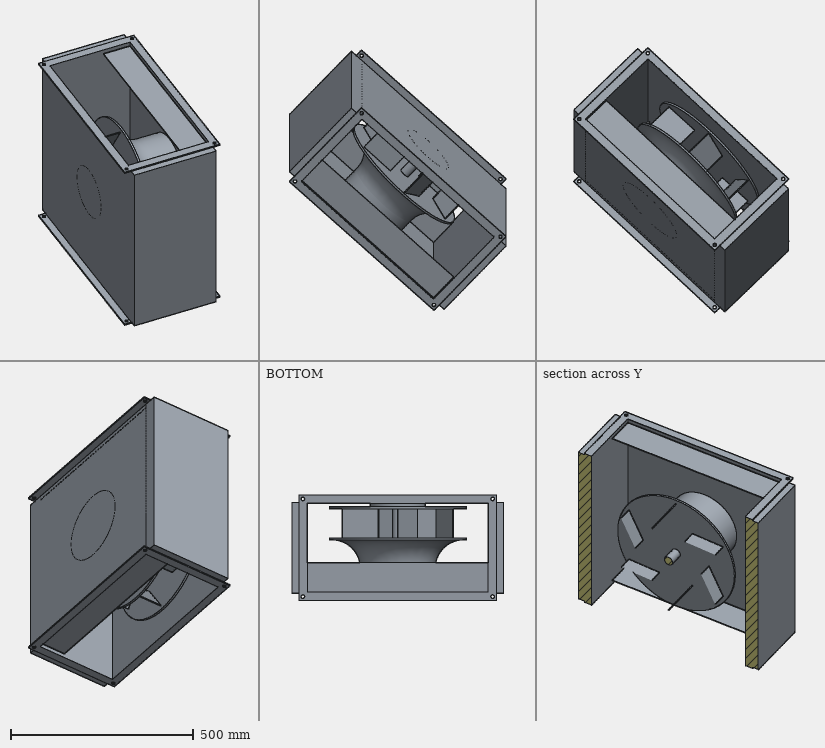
import cadquery as cq
import math

CASING_WIDTH = 580.0
CASING_DEPTH = 249.5
TOTAL_HEIGHT = 530.0
DUCT_WIDTH = 495.5
DUCT_DEPTH = 243.5

FLANGE_WIDTH = 542.5
FLANGE_DEPTH = 290.0
FLANGE_THICKNESS = 4.0
BOLT_HOLE_DIAMETER = 9.0
BOLT_INSET = 11.0

SHELF_DEPTH = 81.0
SHELF_THICKNESS = 2.5
SHELF_DROP = 12.0

DISC_RADIUS = 188.0
DISC_THICKNESS = 6.0
INLET_DISC_BACK = -21.5
REAR_DISC_BACK = -107.0
INLET_NECK_RADIUS = 103.0
INLET_ARC_RADIUS = 76.5
MOTOR_RADIUS = 76.0
SHAFT_RADIUS = 14.0

BLADE_COUNT = 6
BLADE_TIP_RADIUS = 175.0
BLADE_ROOT_RADIUS = 106.0
BLADE_THICKNESS = 3.0
BLADE_START_ANGLE = 30.0
BLADE_SWEEP_ANGLE = 30.0

CASING_HEIGHT = TOTAL_HEIGHT - 2 * FLANGE_THICKNESS
BACK_PANEL_Y = DUCT_DEPTH / 2
FRONT_PANEL_Y = -DUCT_DEPTH / 2


def fan_cylinder(radius, y_back, y_front):
    """Cylinder on the fan axis between two Y positions."""
    plane = cq.Workplane("XZ", origin=(0, y_back, 0))
    return plane.circle(radius).extrude(y_back - y_front)


def make_casing():
    """Casing walls with a drilled flange at each end and the duct running through."""
    casing = cq.Workplane("XY").box(CASING_WIDTH, CASING_DEPTH, CASING_HEIGHT)
    flange = (
        cq.Workplane("XY")
        .box(FLANGE_WIDTH, FLANGE_DEPTH, FLANGE_THICKNESS)
        .faces(">Z")
        .workplane()
        .rect(FLANGE_WIDTH - 2 * BOLT_INSET, FLANGE_DEPTH - 2 * BOLT_INSET, forConstruction=True)
        .vertices()
        .hole(BOLT_HOLE_DIAMETER)
    )
    flange_z = (TOTAL_HEIGHT - FLANGE_THICKNESS) / 2
    for z in (-flange_z, flange_z):
        casing = casing.union(flange.translate((0, 0, z)))
    duct = cq.Workplane("XY").box(DUCT_WIDTH, DUCT_DEPTH, TOTAL_HEIGHT)
    return casing.cut(duct)


def make_shelf(side):
    """Shelf near the top (side = 1) or the bottom (side = -1), set into the back panel."""
    z = side * (TOTAL_HEIGHT / 2 - SHELF_DROP - SHELF_THICKNESS / 2)
    shelf = cq.Workplane("XY").box(DUCT_WIDTH, SHELF_DEPTH, SHELF_THICKNESS)
    return shelf.translate((0, BACK_PANEL_Y - SHELF_DEPTH / 2, z))


def make_inlet():
    """Inlet flaring from a straight neck at the back panel to the rim of the inlet disc."""
    arc_end_radius = INLET_NECK_RADIUS + INLET_ARC_RADIUS
    neck_y = INLET_DISC_BACK + INLET_ARC_RADIUS
    diagonal = INLET_ARC_RADIUS * math.sqrt(0.5)
    arc_middle = (arc_end_radius - diagonal, neck_y - diagonal)
    front_y = INLET_DISC_BACK - DISC_THICKNESS
    return (
        cq.Workplane("XY")
        .moveTo(0, BACK_PANEL_Y)
        .lineTo(INLET_NECK_RADIUS, BACK_PANEL_Y)
        .lineTo(INLET_NECK_RADIUS, neck_y)
        .threePointArc(arc_middle, (arc_end_radius, INLET_DISC_BACK))
        .lineTo(DISC_RADIUS, INLET_DISC_BACK)
        .lineTo(DISC_RADIUS, front_y)
        .lineTo(0, front_y)
        .close()
        .revolve(360, (0, 0, 0), (0, 1, 0))
    )


def make_blades():
    """Flat swept-back blades spanning the gap between the two discs."""
    gap_back = INLET_DISC_BACK - DISC_THICKNESS
    span = gap_back - REAR_DISC_BACK
    blades = []
    for index in range(BLADE_COUNT):
        tip_angle = math.radians(BLADE_START_ANGLE + index * 360 / BLADE_COUNT)
        root_angle = tip_angle + math.radians(BLADE_SWEEP_ANGLE)
        tip = cq.Vector(math.cos(tip_angle), 0, math.sin(tip_angle)) * BLADE_TIP_RADIUS
        root = cq.Vector(math.cos(root_angle), 0, math.sin(root_angle)) * BLADE_ROOT_RADIUS
        chord = tip - root
        middle = (tip + root) * 0.5
        plane = cq.Plane(origin=(middle.x, gap_back, middle.z), xDir=chord, normal=(0, -1, 0))
        blades.append(cq.Workplane(plane).rect(chord.Length, BLADE_THICKNESS).extrude(span))
    return blades


def make_fan():
    """Inlet, blades, rear disc, shaft and the motor boss fixed to the front panel."""
    rear_disc_front = REAR_DISC_BACK - DISC_THICKNESS
    fan = make_inlet()
    fan = fan.union(fan_cylinder(DISC_RADIUS, REAR_DISC_BACK, rear_disc_front))
    fan = fan.union(fan_cylinder(SHAFT_RADIUS, INLET_DISC_BACK - DISC_THICKNESS, REAR_DISC_BACK))
    fan = fan.union(fan_cylinder(MOTOR_RADIUS, rear_disc_front, FRONT_PANEL_Y))
    for blade in make_blades():
        fan = fan.union(blade)
    return fan


result = make_casing().union(make_fan())
for side in (-1, 1):
    result = result.union(make_shelf(side))